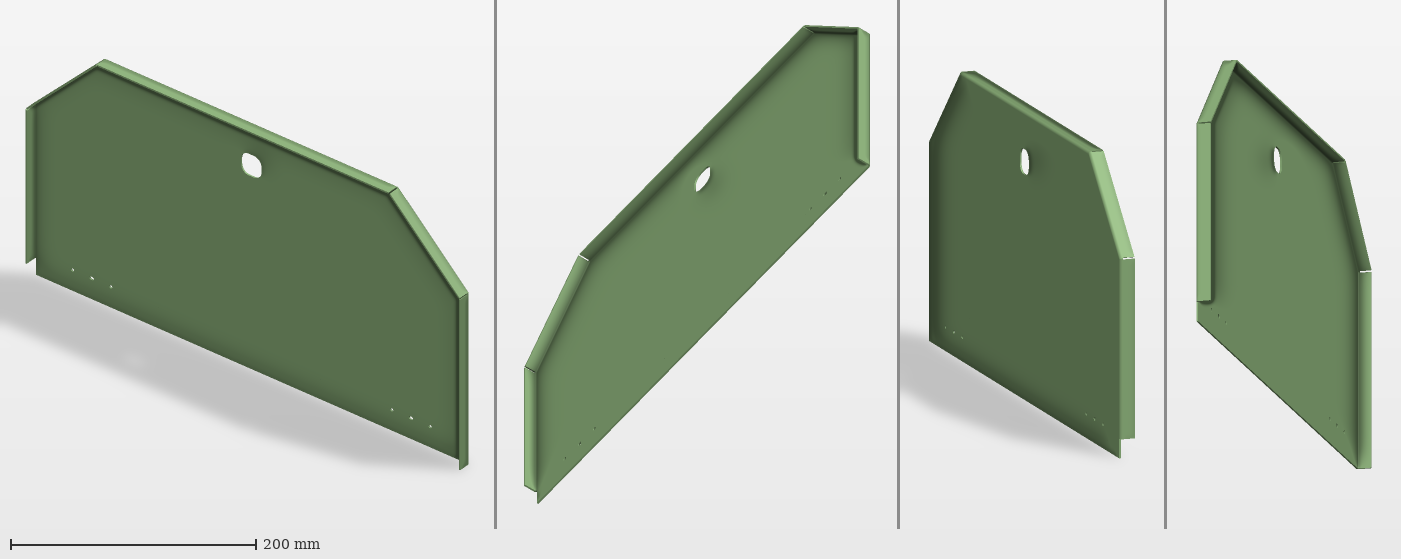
import cadquery as cq
import math

width = 452.0
depth = 12.5
height = 241.5

sheet = 1.5
inner_bend = 1.0
outer_bend = sheet + inner_bend

corner_cut = 73.5
left_flange_bottom = 16.3
corner_gap = 1.5

hand_hole_size = 21.2
hand_hole_radius = 8.0
hand_hole_z = 199.5

mount_x = 166.0
mount_z = 20.5
mount_pitch = 20.0
mount_diameter = 3.0
slot_length = 4.5

half_width = width / 2
shoulder_z = height - corner_cut
top_half_width = half_width - corner_cut
miter_degrees = 22.5


def outline_prism(inset, y_front, y_back):
    """Prism of the outline, inset from every side except the open lower edge."""
    shift = inset * math.tan(math.radians(miter_degrees))
    side_x = half_width - inset
    shoulder = shoulder_z - shift
    top_x = top_half_width - shift
    top_z = height - inset
    points = [
        (-side_x, 0),
        (side_x, 0),
        (side_x, shoulder),
        (top_x, top_z),
        (-top_x, top_z),
        (-side_x, shoulder),
    ]
    sketch = cq.Workplane("XZ", origin=(0, y_back, 0)).polyline(points).close()
    return sketch.extrude(y_back - y_front)


def rounded_prism(inset, y_back, bend_radius):
    """Outline prism whose rear edges are rounded, leaving the lower edge sharp."""
    prism = outline_prism(inset, 0, y_back)
    above_bottom = cq.selectors.BoxSelector(
        (-width, y_back - sheet / 2, sheet), (width, y_back + sheet / 2, 2 * height)
    )
    return prism.edges(above_bottom).fillet(bend_radius)


def folded_sheet():
    """Back plate with flanges folded forward along its sides and top."""
    outside = rounded_prism(0, depth, outer_bend)
    inside = rounded_prism(sheet, depth - sheet, inner_bend)
    return outside.cut(inside)


def corner_slits():
    """Narrow slits along the miters, which separate the flanges up to the bends."""
    slit_depth = depth - outer_bend
    slit_reach = 4 * sheet
    slits = []
    for side in (-1, 1):
        corners = (
            (side * half_width, shoulder_z, miter_degrees),
            (side * top_half_width, height, 90 - miter_degrees),
        )
        for x, z, miter_direction in corners:
            slit = cq.Workplane("XY").box(slit_reach, slit_depth, corner_gap)
            slit = slit.rotate((0, 0, 0), (0, 1, 0), -side * miter_direction)
            slits.append(slit.translate((x, slit_depth / 2, z)))
    return slits


def left_flange_relief():
    """Removes the left flange and its bend near the lower edge."""
    block = cq.Workplane("XY").box(outer_bend, depth, left_flange_bottom, centered=False)
    return block.translate((-half_width, 0, 0))


def hand_hole():
    block = cq.Workplane("XY").box(hand_hole_size, 2 * depth, hand_hole_size)
    return block.edges("|Y").fillet(hand_hole_radius).translate((0, depth, hand_hole_z))


def mounting_holes():
    plane = cq.Workplane("XZ", origin=(0, depth, 0))
    slot_points = [(side * mount_x, mount_z) for side in (-1, 1)]
    round_points = [(x + step * mount_pitch, z) for x, z in slot_points for step in (-1, 1)]
    slots = plane.pushPoints(slot_points).slot2D(slot_length, mount_diameter).extrude(depth)
    rounds = plane.pushPoints(round_points).circle(mount_diameter / 2).extrude(depth)
    return slots.union(rounds)


result = folded_sheet()
for slit in corner_slits():
    result = result.cut(slit)
result = result.cut(left_flange_relief())
result = result.cut(hand_hole())
result = result.cut(mounting_holes())